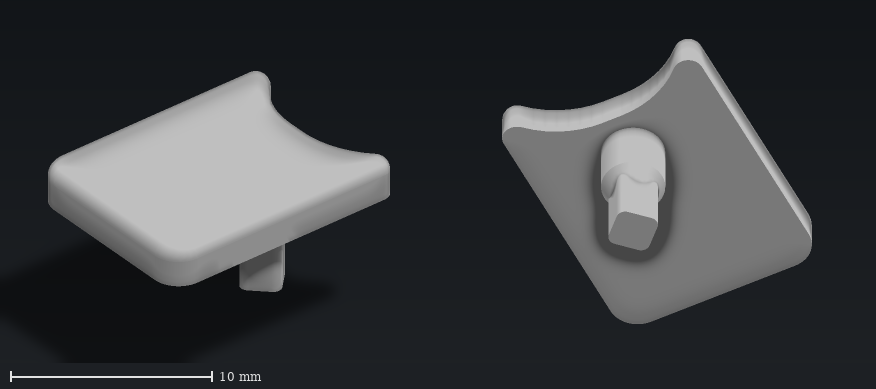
import cadquery as cq
import math

LENGTH = 14.15
WIDTH = 11.0
THICKNESS = 2.2
EDGE_RADIUS = 0.75
FRONT_CORNER_RADIUS = 2 * EDGE_RADIUS
TIP_RADIUS = EDGE_RADIUS
TIP_CLEARANCE = 0.001

NOTCH_DEPTH = 1.75
NOTCH_FLAT = 1.06

STEM_Y = 2.95
STEM_LENGTH = 8.4 - THICKNESS
SHANK_RADIUS = 1.6
SHANK_LENGTH = 2.7
SQUARE_SIDE = 2.14
SQUARE_CORNER_RADIUS = 0.45
SHOULDER_ANGLE = 30.0

BOLT_DEPTH = 0.5
BOLT_OUTLINE = [
    (-0.3, 2.15),
    (1.03, 2.15),
    (-0.68, -1.92),
    (1.68, -0.57),
    (0.68, -4.81),
    (1.17, -4.5),
    (0.01, -6.21),
    (-0.41, -4.2),
    (-0.07, -4.67),
    (0.38, -1.88),
    (-1.68, -3.04),
]


def point_on_circle(center, radius, angle):
    """Point on a circle, with the angle in radians from +X."""
    return (center[0] + radius * math.cos(angle), center[1] + radius * math.sin(angle))


def mirrored(point):
    """Reflection of a point across the Y axis."""
    return (-point[0], point[1])


def make_plate():
    """Plate with a concave rear edge, rounded tips and a rounded top edge."""
    half_width = WIDTH / 2
    rear = LENGTH / 2
    notch_y = rear - NOTCH_DEPTH
    tip_center = (half_width - TIP_RADIUS, rear - TIP_RADIUS)

    run = tip_center[0] - NOTCH_FLAT / 2
    rise = tip_center[1] - notch_y
    notch_radius = (run**2 + rise**2 - TIP_RADIUS**2) / (2 * (rise + TIP_RADIUS))
    notch_center = (NOTCH_FLAT / 2, notch_y + notch_radius)
    tangent_angle = math.atan2(tip_center[1] - notch_center[1], run)

    tip_start = (half_width, tip_center[1])
    tip_end_angle = tangent_angle + math.pi
    tip_middle = point_on_circle(tip_center, TIP_RADIUS, tip_end_angle / 2)
    tip_end = point_on_circle(tip_center, TIP_RADIUS, tip_end_angle)
    notch_middle = point_on_circle(notch_center, notch_radius, (tangent_angle - math.pi / 2) / 2)
    flat_end = (NOTCH_FLAT / 2, notch_y)

    plate = (
        cq.Workplane("XY")
        .moveTo(-half_width, -rear)
        .lineTo(half_width, -rear)
        .lineTo(*tip_start)
        .threePointArc(tip_middle, tip_end)
        .threePointArc(notch_middle, flat_end)
        .lineTo(*mirrored(flat_end))
        .threePointArc(mirrored(notch_middle), mirrored(tip_end))
        .threePointArc(mirrored(tip_middle), mirrored(tip_start))
        .close()
        .extrude(THICKNESS)
    )
    plate = plate.edges("|Z and <Y").fillet(FRONT_CORNER_RADIUS)
    return plate.faces(">Z").edges().fillet(EDGE_RADIUS - TIP_CLEARANCE)


def make_stem():
    """Stem hanging from the underside of the plate."""
    cone_end_radius = SQUARE_SIDE / 2
    cone_length = (SHANK_RADIUS - cone_end_radius) / math.tan(math.radians(SHOULDER_ANGLE))
    shank = (
        cq.Workplane("XZ")
        .polyline([
            (0, 0),
            (SHANK_RADIUS, 0),
            (SHANK_RADIUS, -SHANK_LENGTH),
            (cone_end_radius, -SHANK_LENGTH - cone_length),
            (0, -SHANK_LENGTH - cone_length),
        ])
        .close()
        .revolve(360, (0, 0), (0, 1))
    )
    square_end = (
        cq.Workplane("XY")
        .workplane(offset=-STEM_LENGTH)
        .rect(SQUARE_SIDE, SQUARE_SIDE)
        .extrude(STEM_LENGTH - SHANK_LENGTH)
        .edges("|Z")
        .fillet(SQUARE_CORNER_RADIUS)
        .rotate((0, 0, 0), (0, 0, 1), 45)
    )
    return shank.union(square_end).translate((0, STEM_Y, 0))


def make_bolt():
    """Lightning bolt that fills the matching recess in the cap."""
    return (
        cq.Workplane("XY")
        .workplane(offset=THICKNESS - BOLT_DEPTH)
        .polyline(BOLT_OUTLINE)
        .close()
        .extrude(BOLT_DEPTH)
    )


bolt = make_bolt()
cap = make_plate().union(make_stem()).cut(bolt).solids()

result = cq.Compound.makeCompound([cap.val(), bolt.val()])